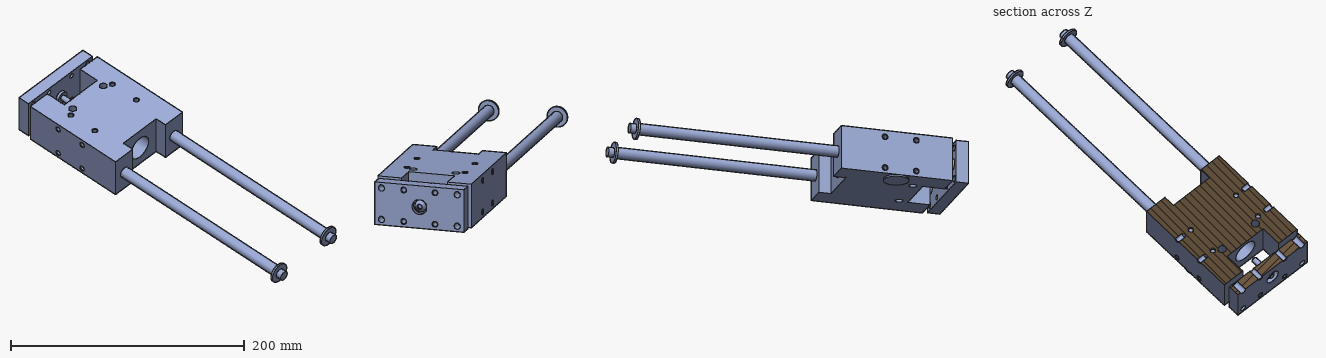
import cadquery as cq
import math


overall_length = 302
mount_pitch = 28.0
rod_pitch = 61.5

plate_thickness = 11.2
plate_width = 80.0
plate_height = 38.0
plate_screw_pitch = 68.0
plate_screw_diameter = 5.5
plate_thread_diameter = 4.2
plate_thread_mouth = 5.0

recess_diameter = 13.0
recess_depth = 4.2
cone_base_diameter = 10.5
cone_tip_diameter = 4.5
socket_diameter = 4.2
socket_depth = 2.5
cone_length = 3.3
collar_diameter = cone_base_diameter
collar_length = 2.7
stud_diameter = 5.0
stud_end = 24.2
stud_chamfer = 0.5

rod_diameter = 10.0
rod_end_diameter = 8.5
stop_diameter = 18.0
stop_thickness = 1.8
stop_start = 295.0

housing_start = 15.0
housing_length = 100.0
housing_width = 84.0
housing_top = 20.0
housing_bottom = -plate_height / 2
housing_height = housing_top - housing_bottom
housing_end = housing_start + housing_length
notch_width = 41.0
front_notch_depth = 20.0
rear_notch_depth = 11.0
bore_diameter = 22.0

thread_first_x = 47.7
thread_diameter = plate_thread_diameter
thread_mouth = plate_thread_mouth
thread_depth = 7.5
drill_tip_angle = 118
top_thread_pitch = 52.0
through_diameter = 6.5
through_x = 43.5
through_pitch = 38.5

boss_diameter = 22.0
boss_height = 1.5
boss_x = 62.2
boss_y = (housing_width - boss_diameter) / 2


def rod_along_x(diameter, start, end, y=0):
    """Cylinder parallel to X, at Z = 0."""
    return cq.Workplane("YZ", origin=(start, y, 0)).circle(diameter / 2).extrude(end - start)


def cone(base_diameter, tip_diameter, length, base, direction):
    """Cone whose base is centred on a point and whose tip points along a direction."""
    return cq.Workplane(
        cq.Solid.makeCone(base_diameter / 2, tip_diameter / 2, length, cq.Vector(*base), cq.Vector(*direction))
    )


def threaded_hole(mouth_diameter, core_diameter, depth, entry, direction):
    """Blind hole with a 45 degree mouth chamfer and a 118 degree drill tip."""
    mouth_depth = (mouth_diameter - core_diameter) / 2
    start = cq.Vector(*entry)
    axis = cq.Vector(*direction)
    core = cq.Workplane(cq.Solid.makeCylinder(core_diameter / 2, depth, start, axis))
    mouth = cone(mouth_diameter, core_diameter, mouth_depth, entry, direction)
    tip_base = (start + axis * depth).toTuple()
    tip_length = core_diameter / 2 / math.tan(math.radians(drill_tip_angle / 2))
    tip = cone(core_diameter, 0, tip_length, tip_base, direction)
    return core.union(mouth).union(tip)


def make_plate():
    plate = cq.Workplane("XY").box(plate_thickness, plate_width, plate_height, centered=(False, True, True))
    plate = plate.cut(rod_along_x(recess_diameter, 0, recess_depth))
    screw_holes = (
        cq.Workplane("YZ").rarray(plate_screw_pitch, mount_pitch, 2, 2)
        .circle(plate_screw_diameter / 2).extrude(plate_thickness)
    )
    thread_holes = (
        cq.Workplane("YZ").rarray(mount_pitch, mount_pitch, 2, 2)
        .circle(plate_thread_diameter / 2).extrude(plate_thickness)
    )
    plate = plate.cut(screw_holes).cut(thread_holes)
    mouth_depth = (plate_thread_mouth - plate_thread_diameter) / 2
    for y in (-mount_pitch / 2, mount_pitch / 2):
        for z in (-mount_pitch / 2, mount_pitch / 2):
            plate = plate.cut(cone(plate_thread_mouth, plate_thread_diameter, mouth_depth, (0, y, z), (1, 0, 0)))
    return plate


def make_coupling():
    """Conical head in the plate recess, with a collar and a stud behind the plate."""
    head = cone(cone_base_diameter, cone_tip_diameter, cone_length, (recess_depth, 0, 0), (-1, 0, 0))
    collar = rod_along_x(collar_diameter, recess_depth, plate_thickness + collar_length)
    stud = rod_along_x(stud_diameter, plate_thickness, stud_end).faces(">X").chamfer(stud_chamfer)
    socket_start = recess_depth - cone_length
    socket = rod_along_x(socket_diameter, socket_start, socket_start + socket_depth)
    return collar.union(head).union(stud).cut(socket)


def make_guide_rod(y):
    rod = rod_along_x(rod_diameter, plate_thickness, stop_start, y)
    rod_end = rod_along_x(rod_end_diameter, stop_start, overall_length, y)
    stop = rod_along_x(stop_diameter, stop_start, stop_start + stop_thickness, y)
    return rod.union(rod_end).union(stop)


def make_carriage():
    """Moving body: front plate, coupling and both guide rods."""
    body = make_plate().union(make_coupling())
    for y in (-rod_pitch / 2, rod_pitch / 2):
        body = body.union(make_guide_rod(y))
    return body


def make_notch(start, depth):
    return (
        cq.Workplane("XY", origin=(start, 0, housing_bottom))
        .box(depth, notch_width, housing_height, centered=(False, True, False))
    )


def make_housing():
    """Guide block that the two rods slide through."""
    body = (
        cq.Workplane("XY", origin=(housing_start, 0, housing_bottom))
        .box(housing_length, housing_width, housing_height, centered=(False, True, False))
    )
    body = body.cut(make_notch(housing_start, front_notch_depth))
    body = body.cut(make_notch(housing_end - rear_notch_depth, rear_notch_depth))

    body = body.cut(rod_along_x(bore_diameter, housing_start, housing_end))
    for y in (-rod_pitch / 2, rod_pitch / 2):
        body = body.cut(rod_along_x(rod_diameter, housing_start, housing_end, y))

    for x in (thread_first_x, thread_first_x + mount_pitch):
        for side in (-1, 1):
            for z in (-mount_pitch / 2, mount_pitch / 2):
                entry = (x, side * housing_width / 2, z)
                body = body.cut(threaded_hole(thread_mouth, thread_diameter, thread_depth, entry, (0, -side, 0)))
            entry = (x, side * top_thread_pitch / 2, housing_top)
            body = body.cut(threaded_hole(thread_mouth, thread_diameter, thread_depth, entry, (0, 0, -1)))

    through_holes = (
        cq.Workplane("XY", origin=(through_x, 0, housing_bottom)).rarray(3, through_pitch, 1, 2)
        .circle(through_diameter / 2).extrude(housing_height)
    )
    body = body.cut(through_holes)

    boss = (
        cq.Workplane("XY", origin=(boss_x, boss_y, housing_bottom - boss_height))
        .circle(boss_diameter / 2).extrude(boss_height)
    )
    return body.union(boss)


carriage = make_carriage()
housing = make_housing()
result = cq.Compound.makeCompound([carriage.val(), housing.val()])